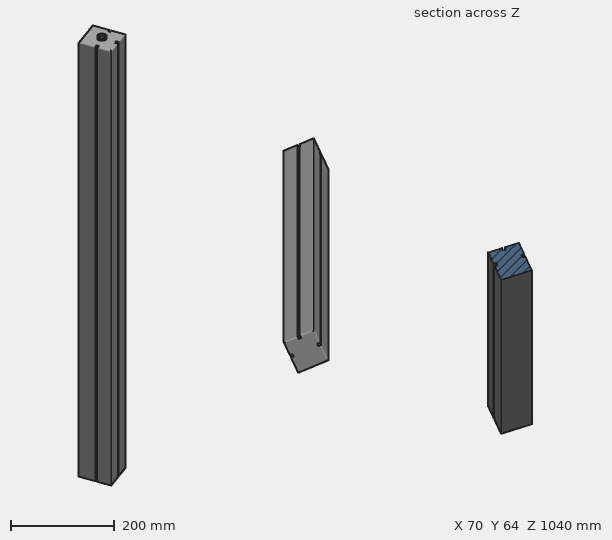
import cadquery as cq

width = 70.0
depth = 64.0
height = 1040.0

collar_height = 4.0
collar_diameter = 19.0

bore_diameter = 14.0
bore_depth = 5.0

body_height = height - collar_height
end_radius = 3.0

groove_width = 5.0
groove_depth = 6.0
groove_offset = 3.0


def make_body():
    """Rectangular bar with the edges of both end faces rounded."""
    bar = cq.Workplane("XY").box(width, depth, body_height, centered=(True, True, False))
    return bar.faces("<Z or >Z").edges().fillet(end_radius)


def groove_cutter(center_x, center_y, size_x, size_y):
    """Full-length cutter centred on a side face, so half of it lies in the bar."""
    return (
        cq.Workplane("XY")
        .center(center_x, center_y)
        .rect(size_x, size_y)
        .extrude(body_height)
    )


def cut_grooves(bar):
    """One groove in each of the -Y, +Y and +X faces."""
    for side in (-1, 1):
        bar = bar.cut(groove_cutter(groove_offset, side * depth / 2, groove_width, 2 * groove_depth))
    return bar.cut(groove_cutter(width / 2, 0, 2 * groove_depth, groove_width))


def make_collar():
    """Short disc standing on the top face."""
    return (
        cq.Workplane("XY", origin=(0, 0, body_height))
        .circle(collar_diameter / 2)
        .extrude(collar_height)
    )


def make_bore():
    """Cutter for the blind bore, reaching down from the top of the collar."""
    return (
        cq.Workplane("XY", origin=(0, 0, height - bore_depth))
        .circle(bore_diameter / 2)
        .extrude(bore_depth)
    )


result = cut_grooves(make_body()).union(make_collar()).cut(make_bore())